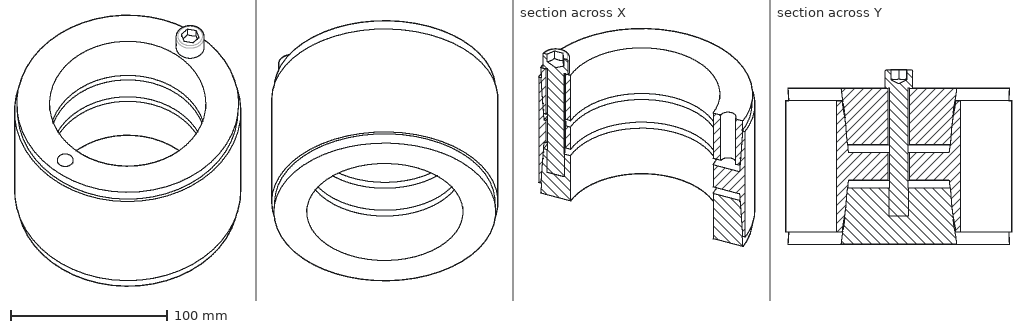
import cadquery as cq
import math


SLEEVE_DIAMETER = 145.0
BORE_DIAMETER = 100.0
STACK_HEIGHT = 100.0
RING_END_DIAMETER = 142.1
TAPER_ANGLE = 3.5

RING_PROTRUSION = 8.0
WEB_HEIGHT = 18.0
RING_GAP = 4.8

HOLE_PITCH_RADIUS = 60.5
SHANK_DIAMETER = 12.0
CLEARANCE_DIAMETER = 13.5
THREAD_ENGAGEMENT = 18.0
HEAD_DIAMETER = 18.0
HEAD_HEIGHT = 11.9
HEAD_FILLET = 1.2
SOCKET_ACROSS_FLATS = 10.0
SOCKET_DEPTH = 6.0
SOCKET_TIP_DEPTH = 2.9
JACKING_HOLE_DIAMETER = 10.2

sleeve_radius = SLEEVE_DIAMETER / 2
bore_radius = BORE_DIAMETER / 2
ring_end_radius = RING_END_DIAMETER / 2
middle = STACK_HEIGHT / 2
web_bottom = middle - WEB_HEIGHT / 2
web_top = middle + WEB_HEIGHT / 2
ring_height = web_bottom - RING_GAP
upper_ring_bottom = STACK_HEIGHT - ring_height
screw_tip = ring_height - THREAD_ENGAGEMENT
socket_corner_diameter = SOCKET_ACROSS_FLATS / math.cos(math.radians(30))


def cone_radius(depth):
    """Radius of the tapered seat at a depth below the end face of a thrust ring."""
    return ring_end_radius - depth * math.tan(math.radians(TAPER_ANGLE))


def revolve_profile(points):
    """Turn a closed (radius, height) profile around the Z axis."""
    return cq.Workplane("XZ").polyline(points).close().revolve(360, (0, 0, 0), (0, 1, 0))


def cylinder(diameter, y, bottom, top):
    """Vertical cylinder centred at X = 0, used for the holes and the screw."""
    return (
        cq.Workplane("XY", origin=(0, y, bottom))
        .circle(diameter / 2)
        .extrude(top - bottom)
    )


def make_sleeve():
    """Outer sleeve with a conical seat at each end and a central web."""
    mouth_radius = cone_radius(RING_PROTRUSION)
    seat_end_radius = cone_radius(web_bottom)
    sleeve_bottom = RING_PROTRUSION
    sleeve_top = STACK_HEIGHT - RING_PROTRUSION
    sleeve = revolve_profile([
        (sleeve_radius, sleeve_bottom),
        (sleeve_radius, sleeve_top),
        (mouth_radius, sleeve_top),
        (seat_end_radius, web_top),
        (bore_radius, web_top),
        (bore_radius, web_bottom),
        (seat_end_radius, web_bottom),
        (mouth_radius, sleeve_bottom),
    ])
    return sleeve.cut(cylinder(CLEARANCE_DIAMETER, HOLE_PITCH_RADIUS, web_bottom, web_top))


def make_ring_blank():
    """Thrust ring without holes, its wide end face at Z = 0."""
    return revolve_profile([
        (bore_radius, 0),
        (ring_end_radius, 0),
        (cone_radius(ring_height), ring_height),
        (bore_radius, ring_height),
    ])


def make_lower_ring():
    """Lower thrust ring with the blind hole that holds the screw tip."""
    return make_ring_blank().cut(
        cylinder(SHANK_DIAMETER, HOLE_PITCH_RADIUS, screw_tip, ring_height)
    )


def make_upper_ring():
    """Upper thrust ring with a clearance hole and a jacking hole opposite."""
    ring = make_ring_blank().mirror("XY").translate((0, 0, STACK_HEIGHT))
    for diameter, y in (
        (CLEARANCE_DIAMETER, HOLE_PITCH_RADIUS),
        (JACKING_HOLE_DIAMETER, -HOLE_PITCH_RADIUS),
    ):
        ring = ring.cut(cylinder(diameter, y, upper_ring_bottom, STACK_HEIGHT))
    return ring


def make_socket(head_top):
    """Hexagonal socket, corners toward +Y and -Y, closed by a conical floor."""
    tip = head_top - SOCKET_DEPTH - SOCKET_TIP_DEPTH
    hexagon = (
        cq.Workplane("XY", origin=(0, HOLE_PITCH_RADIUS, tip))
        .transformed(rotate=(0, 0, 90))
        .polygon(6, socket_corner_diameter)
        .extrude(head_top - tip)
    )
    pointed_core = revolve_profile([
        (0, head_top),
        (socket_corner_diameter / 2, head_top),
        (socket_corner_diameter / 2, head_top - SOCKET_DEPTH),
        (0, tip),
    ]).translate((0, HOLE_PITCH_RADIUS, 0))
    return hexagon.intersect(pointed_core)


def make_screw():
    """Socket head cap screw seated on the upper ring."""
    head_top = STACK_HEIGHT + HEAD_HEIGHT
    head = (
        cylinder(HEAD_DIAMETER, HOLE_PITCH_RADIUS, STACK_HEIGHT, head_top)
        .faces(">Z")
        .edges()
        .fillet(HEAD_FILLET)
        .cut(make_socket(head_top))
    )
    shank = cylinder(SHANK_DIAMETER, HOLE_PITCH_RADIUS, screw_tip, STACK_HEIGHT)
    return head.union(shank)


sleeve = make_sleeve()
lower_ring = make_lower_ring()
upper_ring = make_upper_ring()
screw = make_screw()

result = cq.Compound.makeCompound([
    sleeve.val(),
    lower_ring.val(),
    upper_ring.val(),
    screw.val(),
])